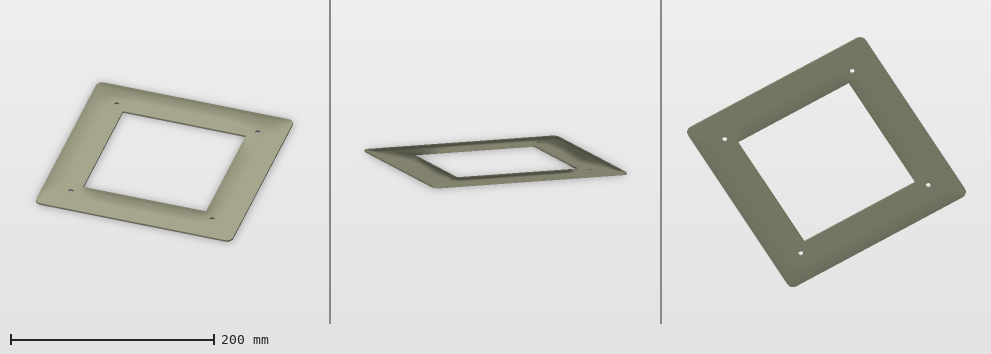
import cadquery as cq

plate_side = 203.2
plate_thickness = 1.89
corner_radius = 6.3

window_side = 127.0

hole_spacing = 145.9
hole_diameter = 4.9

plate = (
    cq.Workplane("XY")
    .rect(plate_side, plate_side)
    .extrude(plate_thickness)
    .edges("|Z")
    .fillet(corner_radius)
)

window = cq.Workplane("XY").rect(window_side, window_side).extrude(plate_thickness)

holes = (
    cq.Workplane("XY")
    .rect(hole_spacing, hole_spacing, forConstruction=True)
    .vertices()
    .circle(hole_diameter / 2)
    .extrude(plate_thickness)
)

result = plate.cut(window).cut(holes)